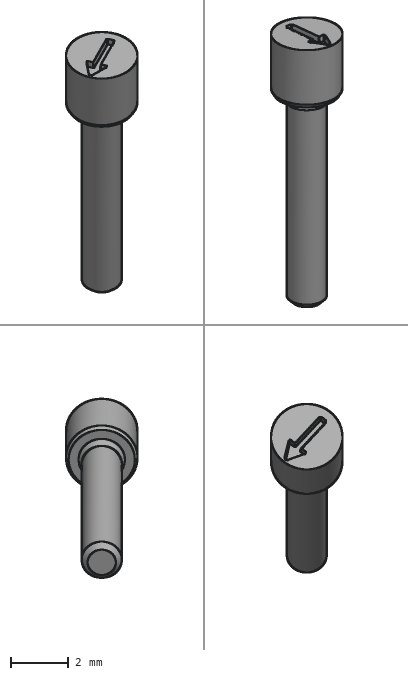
import cadquery as cq

total_length = 10.5
head_radius = 2.5 / 2
head_length = 2.3
head_chamfer_height = 0.16
head_chamfer_width = 0.09
shank_radius = 1.41 / 2
tip_chamfer = 0.21

neck_length = 0.35
neck_depth = 0.04
neck_flare = 0.1
neck_waist_height = 0.13

arrow_depth = 0.22
arrow_draft = 11.0
stem_half_width = 0.15
stem_end_y = 0.9
stem_corner_radius = 0.04
barb_half_width = 0.37
barb_y = -0.46
barb_side = 0.09
point_y = -1.12
point_half_width = 0.06


def make_pin():
    """Revolve the shank, neck and head about Z, with the tip at Z = 0."""
    head_bottom = total_length - head_length
    neck_bottom = head_bottom - neck_length
    return (
        cq.Workplane("XZ")
        .lineTo(shank_radius - tip_chamfer, 0)
        .lineTo(shank_radius, tip_chamfer)
        .lineTo(shank_radius, neck_bottom)
        .threePointArc(
            (shank_radius - neck_depth, neck_bottom + neck_waist_height),
            (shank_radius + neck_flare, head_bottom),
        )
        .lineTo(head_radius - head_chamfer_width, head_bottom)
        .lineTo(head_radius, head_bottom + head_chamfer_height)
        .lineTo(head_radius, total_length)
        .lineTo(0, total_length)
        .close()
        .revolve(360, (0, 0, 0), (0, 1, 0))
    )


def make_arrow():
    """Drafted arrow cutter that narrows downward from the top face."""
    right_side = [
        (stem_half_width - stem_corner_radius, stem_end_y),
        (stem_half_width, stem_end_y - stem_corner_radius),
        (stem_half_width, barb_y),
        (barb_half_width, barb_y),
        (barb_half_width, barb_y - barb_side),
        (point_half_width, point_y),
    ]
    left_side = [(-x, y) for x, y in reversed(right_side)]
    return (
        cq.Workplane("XY", origin=(0, 0, total_length))
        .polyline(right_side + left_side)
        .close()
        .extrude(-arrow_depth, taper=arrow_draft)
    )


result = make_pin().cut(make_arrow())